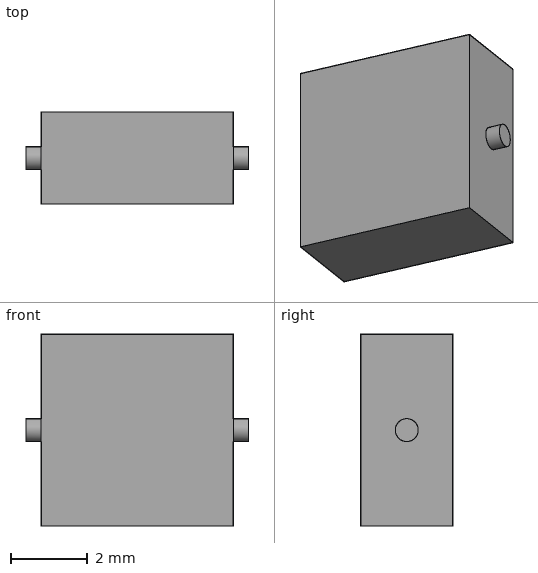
import cadquery as cq

overall_length = 5.8
body_depth = 2.4
body_side = 5.0
pin_diameter = 0.6

body = cq.Workplane("XY").box(body_side, body_depth, body_side)

pins = (
    cq.Workplane("YZ")
    .circle(pin_diameter / 2)
    .extrude(overall_length / 2, both=True)
)

result = body.union(pins)